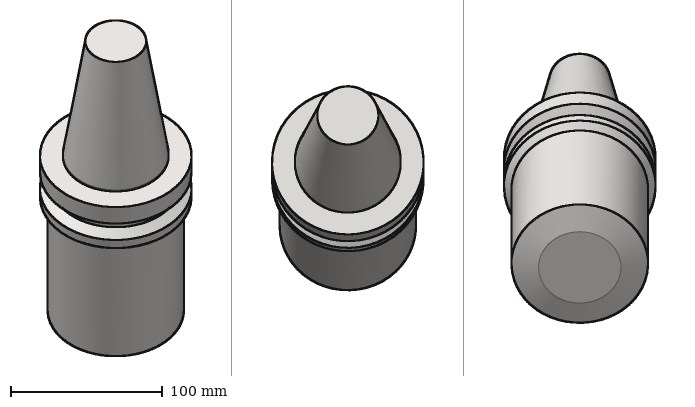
import cadquery as cq

total_height = 246.8
taper_bottom = 145.4
flange_top = 144.0
upper_rim_bottom = 129.0
groove_top = 124.6
groove_bottom = 118.7
lower_rim_top = 114.3
lower_rim_bottom = 106.9
body_top = 102.5
nose_height = 5.0

taper_top_diameter = 40.2
taper_base_diameter = 69.8
flange_diameter = 100.0
groove_diameter = 85.0
body_diameter = 90.0
nose_diameter = 54.3

taper_top_radius = taper_top_diameter / 2
taper_base_radius = taper_base_diameter / 2
flange_radius = flange_diameter / 2
groove_radius = groove_diameter / 2
body_radius = body_diameter / 2
nose_radius = nose_diameter / 2

half_section = [
    (0, 0),
    (nose_radius, 0),
    (body_radius, nose_height),
    (body_radius, body_top),
    (flange_radius, lower_rim_bottom),
    (flange_radius, lower_rim_top),
    (groove_radius, groove_bottom),
    (groove_radius, groove_top),
    (flange_radius, upper_rim_bottom),
    (flange_radius, flange_top),
    (taper_base_radius, flange_top),
    (taper_base_radius, taper_bottom),
    (taper_top_radius, total_height),
    (0, total_height),
]

result = cq.Workplane("XZ").polyline(half_section).close().revolve(360, (0, 0, 0), (0, 1, 0))